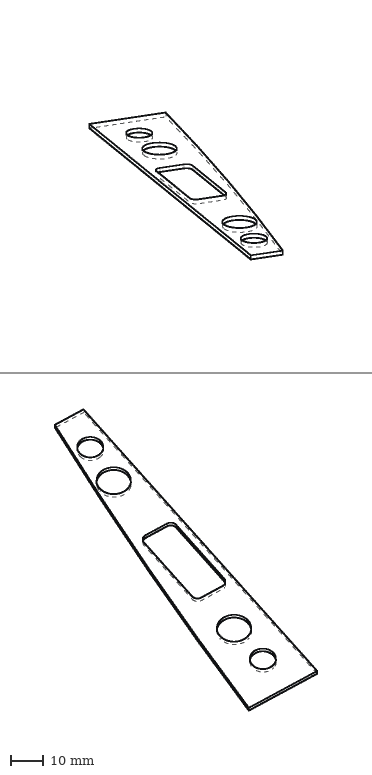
import cadquery as cq

length = 126.3
tall_end = 25.6
short_end = 10.7
mid_height = 19.5
thickness = 1.4

small_diameter = 8.1
large_diameter = 10.6
holes = [
    (13.5, 11.0, small_diameter),
    (28.5, 11.4, large_diameter),
    (97.8, 8.5, large_diameter),
    (112.8, 6.8, small_diameter),
]

window_length = 30.1
window_width = 12.1
window_radius = 2.0
window_center = (59.4, 8.7)


def make_plate():
    """Tapered plate whose upper edge is a shallow arc."""
    return (
        cq.Workplane("XY")
        .lineTo(length, 0)
        .lineTo(length, short_end)
        .threePointArc((length / 2, mid_height), (0, tall_end))
        .close()
        .extrude(thickness)
    )


def make_round_cutter(x, y, diameter):
    """Cylinder that passes through the plate."""
    return cq.Workplane("XY").center(x, y).circle(diameter / 2).extrude(thickness)


def make_window_cutter():
    """Block with rounded upright edges that passes through the plate."""
    return (
        cq.Workplane("XY")
        .center(*window_center)
        .rect(window_length, window_width)
        .extrude(thickness)
        .edges("|Z")
        .fillet(window_radius)
    )


result = make_plate().cut(make_window_cutter())
for x, y, diameter in holes:
    result = result.cut(make_round_cutter(x, y, diameter))